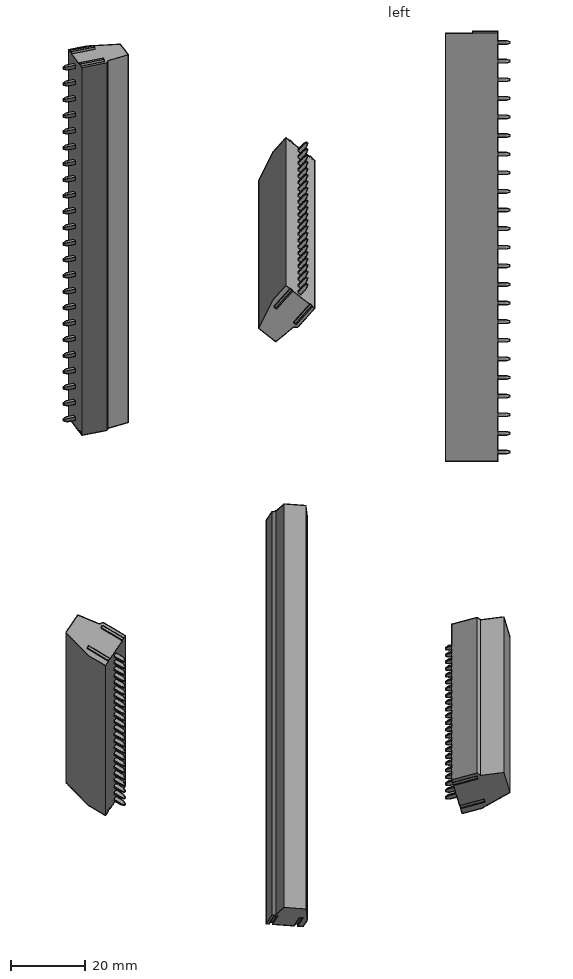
import cadquery as cq

POLE_COUNT = 23
TOTAL_HEIGHT = 115.6
RIB_HEIGHT = 0.6
BODY_HEIGHT = TOTAL_HEIGHT - RIB_HEIGHT
POLE_PITCH = BODY_HEIGHT / POLE_COUNT

BODY_WIDTH = 10.2
TOTAL_DEPTH = 17.3
PIN_LENGTH = 3.2
BODY_DEPTH = TOTAL_DEPTH - PIN_LENGTH
BACK_LEFT_X = 2.3
BACK_RIGHT_X = 8.3
LEFT_SHOULDER_Y = 5.4
RIGHT_SHOULDER_Y = 7.2
RIGHT_STEP_X = 9.2
RIGHT_STEP_Y = 7.9

PIN_X = 4.7
PIN_SIZE = 1.0
TIP_SIZE = 0.5
TIP_LENGTH = 0.9

RIB_LEFT_X = (1.5, 8.4)
RIB_LENGTH = 6.8
RIB_ROOT_WIDTH = 0.9
RIB_CREST_WIDTH = 0.7


def make_housing():
    outline = [
        (0, 0),
        (BODY_WIDTH, 0),
        (BODY_WIDTH, RIGHT_SHOULDER_Y),
        (RIGHT_STEP_X, RIGHT_STEP_Y),
        (BACK_RIGHT_X, BODY_DEPTH),
        (BACK_LEFT_X, BODY_DEPTH),
        (0, LEFT_SHOULDER_Y),
    ]
    return cq.Workplane("XY").polyline(outline).close().extrude(BODY_HEIGHT)


def make_rib_bar(left_x, base_z):
    """Bar running back from the pin face, upright on its left and sloped on its right."""
    crest_z = base_z + RIB_HEIGHT
    profile = [
        (left_x, base_z),
        (left_x + RIB_ROOT_WIDTH, base_z),
        (left_x + RIB_CREST_WIDTH, crest_z),
        (left_x, crest_z),
    ]
    return cq.Workplane("XZ").polyline(profile).close().extrude(-RIB_LENGTH)


def make_pin(center_z):
    """Pin projecting from the pin face toward -Y."""
    shank = (
        cq.Workplane("XZ")
        .center(PIN_X, center_z)
        .rect(PIN_SIZE, PIN_SIZE)
        .extrude(PIN_LENGTH - TIP_LENGTH)
    )
    return (
        shank.faces("<Y")
        .workplane(centerOption="CenterOfMass")
        .rect(PIN_SIZE, PIN_SIZE)
        .workplane(offset=TIP_LENGTH)
        .rect(TIP_SIZE, TIP_SIZE)
        .loft(combine=True)
    )


result = make_housing()

for rib_x in RIB_LEFT_X:
    result = result.cut(make_rib_bar(rib_x, 0))
    result = result.union(make_rib_bar(rib_x, BODY_HEIGHT))

for pole in range(POLE_COUNT):
    pin_z = POLE_PITCH * pole + POLE_PITCH / 2
    result = result.union(make_pin(pin_z))